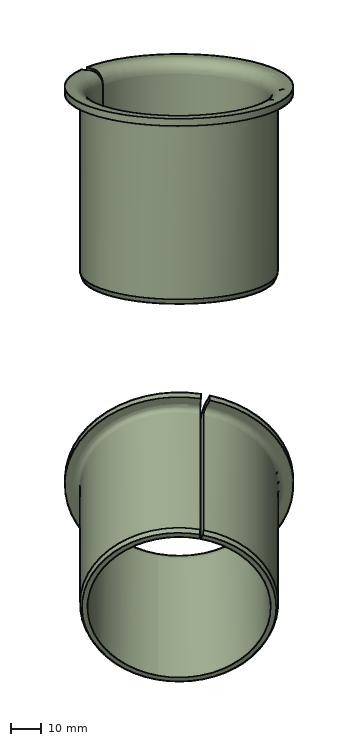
import cadquery as cq

flange_diameter = 75.0
tube_diameter = 65.0
height = 65.0
wall = 2.5
inner_bend_radius = 4.5
chamfer_height = 1.8
chamfer_width = 0.7
bore_gap = 0.2
rim_gap = 3.0
cut_overrun = 0.75

flange_radius = flange_diameter / 2
outer_radius = tube_diameter / 2
bore_radius = outer_radius - wall
outer_bend_radius = inner_bend_radius - wall
flange_underside = height - wall
bend_center_radius = bore_radius + inner_bend_radius
bend_center_height = height - inner_bend_radius


def make_sleeve():
    """Revolve the wall section: tube, bend and flange of equal thickness."""
    diagonal = 0.5 ** 0.5
    inner_mid = (
        bend_center_radius - inner_bend_radius * diagonal,
        bend_center_height + inner_bend_radius * diagonal,
    )
    outer_mid = (
        bend_center_radius - outer_bend_radius * diagonal,
        bend_center_height + outer_bend_radius * diagonal,
    )
    section = (
        cq.Workplane("XZ")
        .moveTo(bore_radius, 0)
        .lineTo(outer_radius - chamfer_width, 0)
        .lineTo(outer_radius, chamfer_height)
        .lineTo(outer_radius, bend_center_height)
        .threePointArc(outer_mid, (bend_center_radius, flange_underside))
        .lineTo(flange_radius, flange_underside)
        .lineTo(flange_radius, height)
        .lineTo(bend_center_radius, height)
        .threePointArc(inner_mid, (bore_radius, bend_center_height))
        .close()
    )
    return section.revolve(360, (0, 0, 0), (0, 1, 0))


def make_split():
    """Full-height wedge on the -X side, opening from a hairline gap at the bore."""
    return (
        cq.Workplane("XY")
        .polyline([
            (-bore_radius + cut_overrun, -bore_gap / 2),
            (-bore_radius, -bore_gap / 2),
            (-flange_radius, -rim_gap / 2),
            (-flange_radius - cut_overrun, -rim_gap / 2),
            (-flange_radius - cut_overrun, rim_gap / 2),
            (-flange_radius, rim_gap / 2),
            (-bore_radius, bore_gap / 2),
            (-bore_radius + cut_overrun, bore_gap / 2),
        ])
        .close()
        .extrude(height)
    )


result = make_sleeve().cut(make_split())